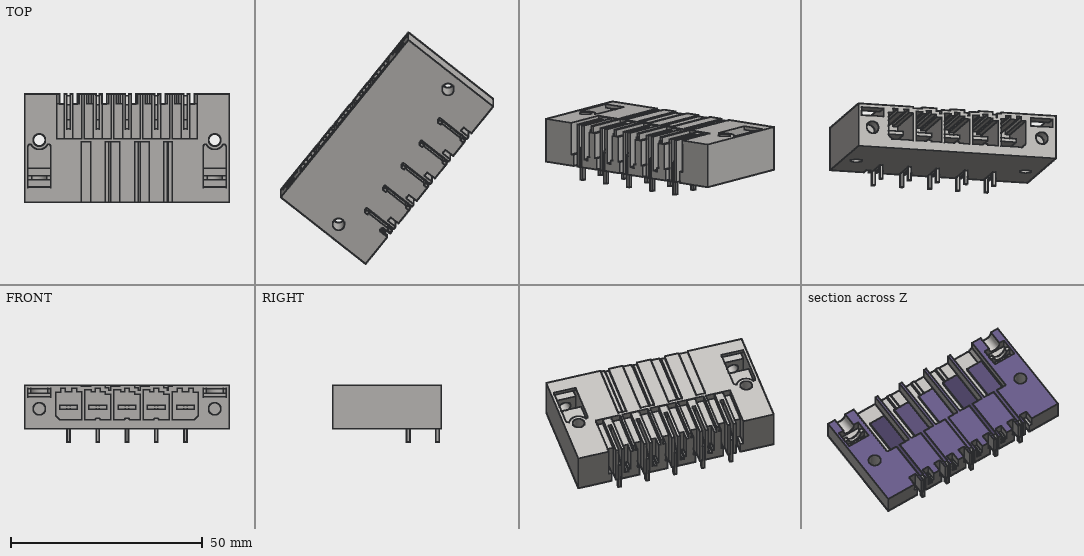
import cadquery as cq
import math


poles = 5
pitch = 7.62
length = (poles + 2) * pitch
depth = 28.3
pin_length = 3.5
total_height = 14.9
height = total_height - pin_length
pole_places = [(i - (poles - 1) / 2) * pitch for i in range(poles)]
joint_places = [x + pitch / 2 for x in pole_places[:-1]]

cavity_half = 3.4
cavity_depth = 15.75
cavity_bottom = 2.4
cavity_roof = 9.7
key_groove_top = 10.6
left_shoulder_top = 10.2
right_shoulder_top = 9.05
end_shoulder_top = 9.5
key_groove_half = 0.63
left_shoulder_edge = 1.65
right_shoulder_edge = 2.0
end_cavity_outer = 3.28
outer_key_near = 0.84
outer_key_far = 2.06
inner_key_near = 0.86
inner_key_far = 2.13
end_chamfer = 0.95
floor_rib_half = 0.7
floor_rib_flat_half = 0.45
floor_rib_height = 0.35

groove_depth = 0.35
groove_right = 1.98
first_groove_left = -0.46
deep_groove_left = -1.8
deep_groove_step = -0.9
deep_groove_wall = -0.4
last_groove_wall = -0.65
last_groove_right = 0.42
deep_groove_depth = 0.7
deepest_groove_depth = 1.4

pocket_front = 16.65
pocket_floor = 9.6
pocket_half = 3.5
end_pocket_half = 3.1
block_half = 1.15
block_drop = 0.2
block_height = height - block_drop
opening_front = 25.7
opening_half = 2.3
ledge_half = 2.85
ledge_height = 3.0
sill_height = 2.0
sill_curve_end = -1.72
sill_curve_rise = 0.16

contact_thickness = 0.8
leg_depth = 1.0
rear_leg_back = 27.8
front_leg_front = rear_leg_back - pitch - leg_depth
blade_width = 4.6
blade_thickness = 0.93
blade_bottom = 5.15
blade_top = blade_bottom + blade_thickness
blade_front = 6.0
hump_front = 21.5
hump_back = 25.5
hump_height = 1.0

fixing_places = [pole_places[0] - pitch, pole_places[-1] + pitch]
board_hole_diameter = 3.1
board_hole_y = 16.25
board_boss_radius = 2.45
front_hole_diameter = 3.2
front_hole_z = 5.2
screw_pocket_width = 5.95
screw_pocket_front = 3.92
screw_pocket_back = 15.2
screw_pocket_corner = 0.7
screw_pocket_floor = 3.0
step_front = 8.85
step_height = 9.2
window_bottom = 8.3
window_top = 10.45
sill_back = 4.1
cradle_front = 5.95
cradle_back = 6.95
cradle_radius = 1.9


def box(x0, x1, y0, y1, z0, z1):
    """Box between two opposite corners."""
    return cq.Workplane("XY").box(x1 - x0, y1 - y0, z1 - z0, centered=False).translate((x0, y0, z0))


def extrude_along_y(points, y0, y1):
    """Closed X-Z outline extruded from y0 to y1."""
    return cq.Workplane("XZ", origin=(0, y0, 0)).polyline(points).close().extrude(y0 - y1)


def middle_cavity(x):
    """Cavity of an inner pole: a stepped roof with one key groove, and a rib along the floor."""
    rib_top = cavity_bottom + floor_rib_height
    outline = [
        (-cavity_half, cavity_bottom),
        (-cavity_half, left_shoulder_top),
        (-left_shoulder_edge, left_shoulder_top),
        (-left_shoulder_edge, cavity_roof),
        (-key_groove_half, cavity_roof),
        (-key_groove_half, key_groove_top),
        (key_groove_half, key_groove_top),
        (key_groove_half, cavity_roof),
        (right_shoulder_edge, cavity_roof),
        (right_shoulder_edge, right_shoulder_top),
        (cavity_half, right_shoulder_top),
        (cavity_half, cavity_bottom),
        (floor_rib_half, cavity_bottom),
        (floor_rib_flat_half, rib_top),
        (-floor_rib_flat_half, rib_top),
        (-floor_rib_half, cavity_bottom),
    ]
    return extrude_along_y([(x + px, pz) for px, pz in outline], 0, cavity_depth)


def end_cavity(x, side):
    """Cavity of an end pole: two key grooves and a chamfered outer floor corner."""
    outline = [
        (end_cavity_outer, cavity_bottom + end_chamfer),
        (end_cavity_outer, end_shoulder_top),
        (outer_key_far, end_shoulder_top),
        (outer_key_far, key_groove_top),
        (outer_key_near, key_groove_top),
        (outer_key_near, cavity_roof),
        (-inner_key_near, cavity_roof),
        (-inner_key_near, key_groove_top),
        (-inner_key_far, key_groove_top),
        (-inner_key_far, cavity_roof),
        (-cavity_half, cavity_roof),
        (-cavity_half, cavity_bottom),
        (end_cavity_outer - end_chamfer, cavity_bottom),
    ]
    return extrude_along_y([(x + side * px, pz) for px, pz in outline], 0, cavity_depth)


def top_groove(x0, x1, groove):
    """Shallow groove from the mating face to the back of the cavities."""
    return box(x0, x1, 0, cavity_depth, height - groove, height)


def rear_pocket(x, left, right):
    """Open-backed pocket around the slotted block of one pole."""
    pocket = box(x - left, x + right, pocket_front, depth, pocket_floor, height)
    block = box(x - block_half, x + block_half, pocket_front, depth, pocket_floor, block_height)
    return pocket.cut(block)


def rear_opening(x, side, outer):
    """Notch beside the block through the back face: through to the board face, with an outer ledge."""
    block_face = x + side * block_half
    ledge_edge = x + side * opening_half
    outer_wall = x + side * outer
    through = box(*sorted([block_face, ledge_edge]), opening_front, depth, 0, height)
    ledge = box(*sorted([ledge_edge, outer_wall]), opening_front, depth, ledge_height, height)
    return through.union(ledge)


def rear_sill(x):
    """Sill closing the bottom of a notch, rising in a hollow curve toward the block."""
    curve_width = sill_curve_end + opening_half
    curve_radius = (curve_width**2 + sill_curve_rise**2) / (2 * sill_curve_rise)
    half_sweep = math.asin(curve_width / curve_radius) / 2
    curve_middle = (
        -opening_half + curve_radius * math.sin(half_sweep),
        sill_height + curve_radius * (1 - math.cos(half_sweep)),
    )
    return (
        cq.Workplane("XZ", origin=(x, opening_front, 0))
        .moveTo(-opening_half, 0)
        .lineTo(-opening_half, sill_height)
        .threePointArc(curve_middle, (sill_curve_end, sill_height + sill_curve_rise))
        .lineTo(-block_half, sill_height + sill_curve_rise)
        .lineTo(-block_half, 0)
        .close()
        .extrude(opening_front - depth)
    )


def contact(x):
    """Flat blade in the cavity, narrowing to an upright bar with two solder legs."""
    blade = box(
        x - blade_width / 2, x + blade_width / 2, blade_front, cavity_depth, blade_bottom, blade_top
    )
    front_leg_back = front_leg_front + leg_depth
    rear_leg_front = rear_leg_back - leg_depth
    hump_top = blade_top + hump_height
    outline = [
        (cavity_depth, blade_bottom),
        (cavity_depth, blade_top),
        (hump_front, blade_top),
        (hump_front, hump_top),
        (hump_back, hump_top),
        (rear_leg_back, hump_top - (rear_leg_back - hump_back)),
        (rear_leg_back, -pin_length),
        (rear_leg_front, -pin_length),
        (rear_leg_front, blade_bottom - leg_depth),
        (front_leg_back, blade_bottom - leg_depth),
        (front_leg_back, -pin_length),
        (front_leg_front, -pin_length),
        (front_leg_front, blade_bottom),
    ]
    bar = (
        cq.Workplane("YZ", origin=(x - contact_thickness / 2, 0, 0))
        .polyline(outline)
        .close()
        .extrude(contact_thickness)
    )
    return blade.union(bar)


def contact_passage(x):
    """Slot open to the top, back and board face, and the bar's channel forward to the cavity."""
    half = contact_thickness / 2
    slot = box(x - half, x + half, front_leg_front, depth, 0, height)
    channel = box(x - half, x + half, cavity_depth, front_leg_front, blade_bottom, blade_top)
    return slot.union(channel)


def cylinder_along_y(x, z, radius, y0, y1):
    """Cylinder from y0 to y1."""
    return cq.Workplane("XZ", origin=(x, y0, z)).circle(radius).extrude(y0 - y1)


def fixing(x):
    """Board hole, front screw hole and the pocket behind it, with a step, a screw cradle and a window."""
    left = x - screw_pocket_width / 2
    right = x + screw_pocket_width / 2
    pocket = (
        box(left, right, screw_pocket_front, screw_pocket_back, screw_pocket_floor, height)
        .edges("|Z and >Y")
        .fillet(screw_pocket_corner)
    )
    step = box(left, right, step_front, screw_pocket_back, screw_pocket_floor, step_height)
    boss = cq.Workplane("XY").center(x, board_hole_y).circle(board_boss_radius).extrude(height)
    wall_below_window = box(left, right, screw_pocket_front, sill_back, screw_pocket_floor, window_bottom)
    cradle = box(left, right, cradle_front, cradle_back, screw_pocket_floor, front_hole_z)
    cradle = cradle.cut(cylinder_along_y(x, front_hole_z, cradle_radius, cradle_front, cradle_back))
    recess = pocket.cut(step).cut(boss).cut(wall_below_window).cut(cradle)

    window = box(left, right, 0, screw_pocket_front, window_bottom, window_top)
    front_hole = cylinder_along_y(x, front_hole_z, front_hole_diameter / 2, 0, sill_back)
    board_hole = cq.Workplane("XY").center(x, board_hole_y).circle(board_hole_diameter / 2).extrude(height)
    return recess.union(window).union(front_hole).union(board_hole)


housing = box(-length / 2, length / 2, 0, depth, 0, height)

housing = housing.cut(end_cavity(pole_places[0], -1))
housing = housing.cut(end_cavity(pole_places[-1], 1))
for x in pole_places[1:-1]:
    housing = housing.cut(middle_cavity(x))

for i, x in enumerate(joint_places):
    if i == 0:
        housing = housing.cut(top_groove(x + first_groove_left, x + groove_right, groove_depth))
        continue
    is_last = i == len(joint_places) - 1
    wall = x + (last_groove_wall if is_last else deep_groove_wall)
    right = x + (last_groove_right if is_last else groove_right)
    housing = housing.cut(top_groove(x + deep_groove_left, x + deep_groove_step, deep_groove_depth))
    housing = housing.cut(top_groove(x + deep_groove_step, wall, deepest_groove_depth))
    housing = housing.cut(top_groove(wall, right, groove_depth))

for i, x in enumerate(pole_places):
    is_first = i == 0
    is_last = i == poles - 1
    left_pocket = end_pocket_half if is_first else pocket_half
    right_pocket = end_pocket_half if is_last else pocket_half
    left_ledge = end_pocket_half if is_first else ledge_half
    right_ledge = end_pocket_half if is_last else ledge_half
    housing = housing.cut(rear_pocket(x, left_pocket, right_pocket))
    housing = housing.cut(rear_opening(x, -1, left_ledge))
    housing = housing.cut(rear_opening(x, 1, right_ledge))
    if not is_first:
        housing = housing.union(rear_sill(x))
    housing = housing.cut(contact_passage(x))

for x in fixing_places:
    housing = housing.cut(fixing(x))

contacts = []
for x in pole_places:
    body = contact(x)
    housing = housing.cut(body)
    contacts.append(body.val())

result = cq.Compound.makeCompound([housing.val(), *contacts])